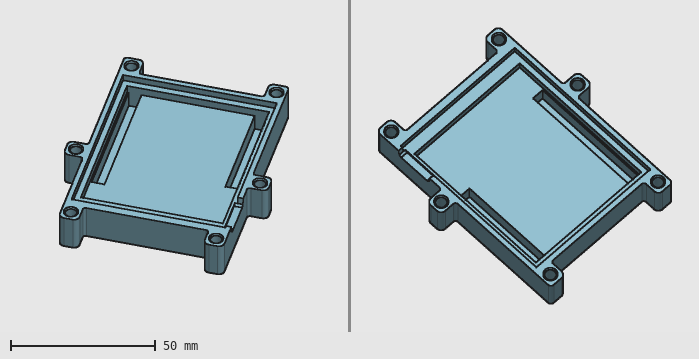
import cadquery as cq

LENGTH = 86.0
WIDTH = 73.0
HEIGHT = 13.0

EAR = 7.05
EAR_RADIUS = 2.0
BACK_OUTER_RADIUS = 1.4
ROOT_RADIUS = 1.0
SIDE_EAR_Y = -7.5

BODY_WIDTH = WIDTH - 2 * EAR
BODY_LENGTH = LENGTH - 2 * EAR
HALF_WIDTH = BODY_WIDTH / 2
HALF_LENGTH = BODY_LENGTH / 2

HOLE_DIAMETER = 4.0
HOLE_RIM_DIAMETER = 5.1
COUNTERSINK_ANGLE = 90
HOLE_X = 26.0
HOLE_Y = 39.2
SIDE_HOLE_X = 32.9

LEDGE_WIDTH = 55.0
LEDGE_BACK = 33.9
LEDGE_FRONT = -32.9
LEDGE_Z = HEIGHT - 2.5
POCKET_WIDTH = 50.8
POCKET_BACK = 31.5
POCKET_FRONT = -28.4
FLOOR_Z = LEDGE_Z - 3.0

SLOT_WIDTH = 4.6
SLOT_WALL_GAP = 0.6
SLOT_DEPTH = 6.0
LEFT_SLOT_FRONT = -16.5
RIGHT_SLOT_FRONT = -6.5

NOTCH_Y = -24.4
NOTCH_INNER_X = 26.6
NOTCH_TOP_WIDTH = 15.3
NOTCH_LEDGE_WIDTH = 14.6
NOTCH_FLOOR_WIDTH = 12.7
NOTCH_FLOOR_Z = LEDGE_Z - 0.7


def box(x_min, x_max, y_min, y_max, z_min, z_max):
    """Box between the given limits."""
    size = (x_max - x_min, y_max - y_min, z_max - z_min)
    return cq.Workplane("XY").box(*size, centered=False).translate((x_min, y_min, z_min))


def fillet_upright_edges(body, points, radius):
    """Round the vertical edges that stand on the given XY points."""
    reach = 0.1
    for x, y in points:
        selector = cq.selectors.BoxSelector(
            (x - reach, y - reach, 0), (x + reach, y + reach, HEIGHT)
        )
        body = body.edges(selector).fillet(radius)
    return body


def make_frame():
    """Body block with four corner ears and two side ears."""
    frame = box(-HALF_WIDTH, HALF_WIDTH, -HALF_LENGTH, HALF_LENGTH, 0, HEIGHT)
    side_ears = box(
        -WIDTH / 2, WIDTH / 2, SIDE_EAR_Y - EAR / 2, SIDE_EAR_Y + EAR / 2, 0, HEIGHT
    )
    frame = frame.union(side_ears)
    ear_inner_x = HALF_WIDTH - EAR
    for x_min in (-HALF_WIDTH, ear_inner_x):
        frame = frame.union(box(x_min, x_min + EAR, -LENGTH / 2, LENGTH / 2, 0, HEIGHT))

    tips = []
    roots = []
    back_outer_tips = []
    for side in (-1, 1):
        back_outer_tips.append((side * HALF_WIDTH, LENGTH / 2))
        tips.append((side * HALF_WIDTH, -LENGTH / 2))
        for end in (-1, 1):
            ear_edge_y = SIDE_EAR_Y + end * EAR / 2
            tips.append((side * ear_inner_x, end * LENGTH / 2))
            tips.append((side * WIDTH / 2, ear_edge_y))
            roots.append((side * ear_inner_x, end * HALF_LENGTH))
            roots.append((side * HALF_WIDTH, ear_edge_y))

    frame = fillet_upright_edges(frame, tips, EAR_RADIUS)
    frame = fillet_upright_edges(frame, back_outer_tips, BACK_OUTER_RADIUS)
    return fillet_upright_edges(frame, roots, ROOT_RADIUS)


def cut_holes(body):
    """Countersunk through hole in every ear."""
    centres = [(x, y) for x in (-HOLE_X, HOLE_X) for y in (-HOLE_Y, HOLE_Y)]
    centres += [(x, SIDE_EAR_Y) for x in (-SIDE_HOLE_X, SIDE_HOLE_X)]
    top = body.faces(">Z").workplane(origin=(0, 0, HEIGHT))
    return top.pushPoints(centres).cskHole(HOLE_DIAMETER, HOLE_RIM_DIAMETER, COUNTERSINK_ANGLE)


def cut_recess(body):
    """Stepped recess and the two slots in its floor."""
    half_ledge = LEDGE_WIDTH / 2
    half_pocket = POCKET_WIDTH / 2
    body = body.cut(box(-half_ledge, half_ledge, LEDGE_FRONT, LEDGE_BACK, LEDGE_Z, HEIGHT))
    body = body.cut(box(-half_pocket, half_pocket, POCKET_FRONT, POCKET_BACK, FLOOR_Z, HEIGHT))

    slot_outer = half_pocket - SLOT_WALL_GAP
    slot_inner = slot_outer - SLOT_WIDTH
    slot_z = FLOOR_Z - SLOT_DEPTH
    left = box(-slot_outer, -slot_inner, LEFT_SLOT_FRONT, POCKET_BACK, slot_z, FLOOR_Z)
    right = box(slot_inner, slot_outer, RIGHT_SLOT_FRONT, POCKET_BACK, slot_z, FLOOR_Z)
    return body.cut(left).cut(right)


def cut_notch(body):
    """Notch through the +X wall with steep upper sides and sloping lower sides."""
    back_side = [
        (NOTCH_Y + NOTCH_FLOOR_WIDTH / 2, NOTCH_FLOOR_Z),
        (NOTCH_Y + NOTCH_LEDGE_WIDTH / 2, LEDGE_Z),
        (NOTCH_Y + NOTCH_TOP_WIDTH / 2, HEIGHT),
    ]
    front_side = [(2 * NOTCH_Y - y, z) for y, z in reversed(back_side)]
    notch = (
        cq.Workplane("YZ", origin=(NOTCH_INNER_X, 0, 0))
        .polyline(back_side + front_side)
        .close()
        .extrude(HALF_WIDTH - NOTCH_INNER_X)
    )
    return body.cut(notch)


result = cut_notch(cut_recess(cut_holes(make_frame())))